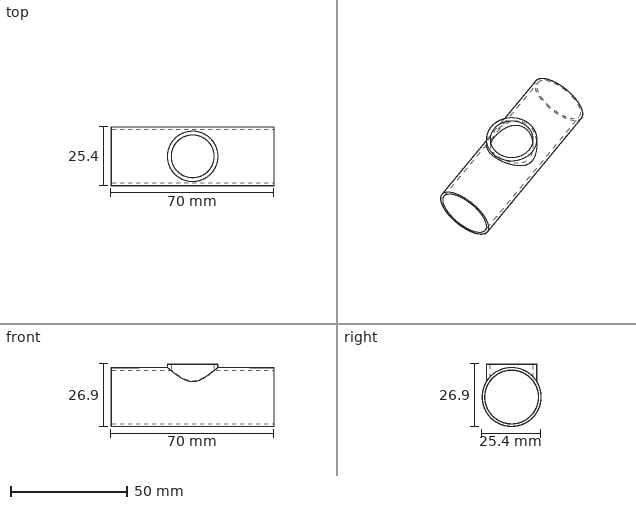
import cadquery as cq

pipe_length = 70.0
pipe_outer_diameter = 25.4
pipe_bore_diameter = 23.0

branch_outer_diameter = 21.7
branch_bore_diameter = 18.4
overall_height = 26.9
branch_top = overall_height - pipe_outer_diameter / 2


def pipe_cylinder(diameter):
    """Cylinder along X, centred on the origin."""
    return cq.Workplane("YZ").circle(diameter / 2).extrude(pipe_length / 2, both=True)


def branch_cylinder(diameter):
    """Cylinder along Z from the pipe axis to the top of the branch."""
    return cq.Workplane("XY").circle(diameter / 2).extrude(branch_top)


outer_body = pipe_cylinder(pipe_outer_diameter).union(branch_cylinder(branch_outer_diameter))

result = outer_body.cut(pipe_cylinder(pipe_bore_diameter)).cut(branch_cylinder(branch_bore_diameter))